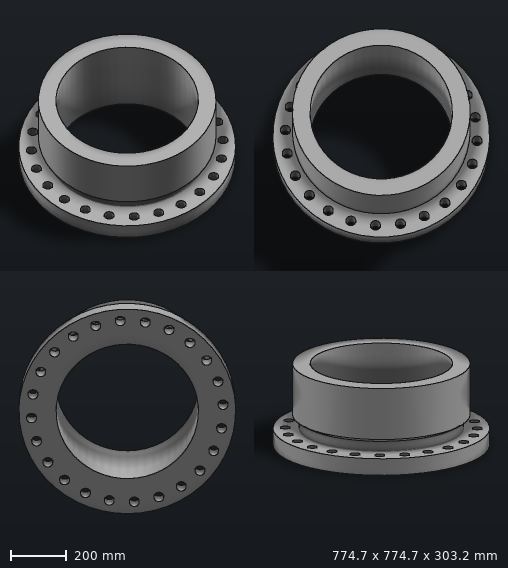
import cadquery as cq

total_height = 303.21
flange_thickness = 62.3
shoulder_bottom = 99.5
shoulder_top = 113.3

flange_diameter = 774.7
neck_diameter = 587.4
hub_diameter = 635.0
bore_diameter = 508.0

neck_fillet_radius = 1.0

bolt_count = 24
bolt_circle_diameter = 685.8
bolt_hole_diameter = 34.9


def revolved_body():
    """Flange, neck, conical shoulder and hub around a straight through bore."""
    bore_radius = bore_diameter / 2
    flange_radius = flange_diameter / 2
    neck_radius = neck_diameter / 2
    hub_radius = hub_diameter / 2
    return (
        cq.Workplane("XZ")
        .moveTo(bore_radius, 0)
        .lineTo(flange_radius, 0)
        .lineTo(flange_radius, flange_thickness)
        .lineTo(neck_radius + neck_fillet_radius, flange_thickness)
        .radiusArc((neck_radius, flange_thickness + neck_fillet_radius), neck_fillet_radius)
        .lineTo(neck_radius, shoulder_bottom)
        .lineTo(hub_radius, shoulder_top)
        .lineTo(hub_radius, total_height)
        .lineTo(bore_radius, total_height)
        .close()
        .revolve(360, (0, 0), (0, 1))
    )


def bolt_holes():
    """Cylinders that pierce the flange on the bolt circle, the first one on +X."""
    return (
        cq.Workplane("XY")
        .polarArray(bolt_circle_diameter / 2, 0, 360, bolt_count)
        .circle(bolt_hole_diameter / 2)
        .extrude(flange_thickness)
    )


result = revolved_body().cut(bolt_holes())